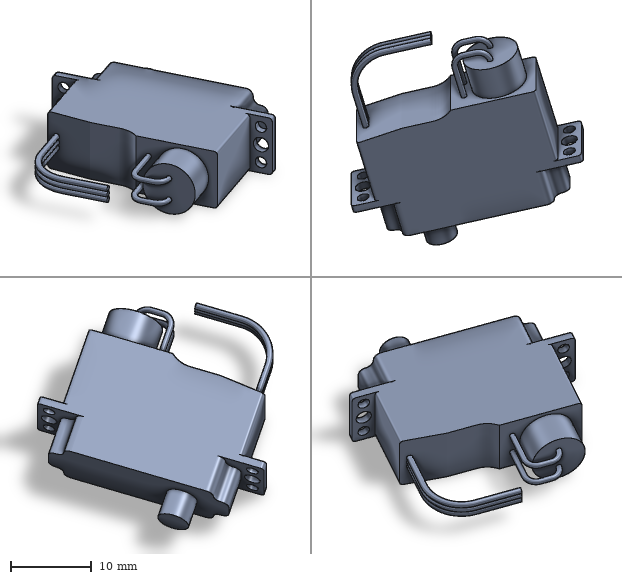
import cadquery as cq
import math


plate_length = 29.5
case_thickness = 8.02
plate_height = 1.0
corner_radius = 0.5
hole_x = 13.22
small_hole_z = 2.5
small_hole_diameter = 1.5
large_hole_diameter = 2.0

case_length = 23.48
case_top = 6.0
case_bottom = -10.53
step_radius = case_thickness / 8

slope_start_y = -8.8
slope_end_x = -5.72
shelf_y = -9.5
arc_start_x = -1.77
arc_end_x = 0.8

shaft_x = -5.63
shaft_diameter = 4.0
shaft_length = 3.5

motor_x = 7.02
motor_diameter = 7.02
motor_length = 4.35

lead_diameter = 0.75
lead_z = 1.5
lead_bend = 1.5
lead_straight = 1.5

wire_diameter = 0.8
wire_pitch = 0.77
wire_bend = 5.0
wire_x = -10.47
wire_bend_start_y = -13.95
wire_end_x = 0.53

half_length = case_length / 2
half_thickness = case_thickness / 2
motor_end = case_bottom - motor_length
quarter = math.sqrt(0.5)


def section_plane(y):
    """XZ plane at height y, with its normal along -Y."""
    return cq.Workplane("XZ", origin=(0, y, 0))


def rounded_block(length, top, bottom):
    """Full-thickness block between two Y levels, rounded along its four Y edges."""
    block = section_plane(top).rect(length, case_thickness).extrude(top - bottom)
    return block.edges("|Y").fillet(corner_radius)


def cylinder(x, diameter, top, bottom):
    """Cylinder along Y, centred on Z."""
    return section_plane(top).center(x, 0).circle(diameter / 2).extrude(top - bottom)


def mounting_plate():
    plate = rounded_block(plate_length, plate_height, 0)
    small_holes = [(x, z) for x in (-hole_x, hole_x) for z in (-small_hole_z, small_hole_z)]
    large_holes = [(-hole_x, 0), (hole_x, 0)]
    for points, diameter in ((small_holes, small_hole_diameter), (large_holes, large_hole_diameter)):
        holes = section_plane(plate_height).pushPoints(points).circle(diameter / 2).extrude(plate_height)
        plate = plate.cut(holes)
    return plate


def corner_notch(side_x, side_z):
    """S-shaped clearance at one corner of the upper case: convex, concave, convex arcs."""
    r = step_radius

    def at(across, down):
        """Point measured inward from the corner, in multiples of the arc radius."""
        return (side_x * (half_length - across * r), side_z * (half_thickness - down * r))

    outline = (
        section_plane(case_top)
        .moveTo(*at(0, 0))
        .lineTo(*at(3, 0))
        .threePointArc(at(3 - quarter, 1 - quarter), at(2, 1))
        .threePointArc(at(1 + quarter, 1 + quarter), at(1, 2))
        .threePointArc(at(1 - quarter, 3 - quarter), at(0, 3))
        .close()
    )
    return outline.extrude(case_top - plate_height)


def upper_case():
    height = case_top - plate_height
    case = section_plane(case_top).rect(case_length, case_thickness).extrude(height)
    for side_x in (-1, 1):
        for side_z in (-1, 1):
            case = case.cut(corner_notch(side_x, side_z))
    return case


def lower_case():
    case = rounded_block(case_length, 0, case_bottom)
    run = arc_end_x - arc_start_x
    drop = shelf_y - case_bottom
    arc_radius = (run**2 + drop**2) / (2 * drop)
    mid_angle = math.asin(run / arc_radius) / 2
    arc_middle = (
        arc_start_x + arc_radius * math.sin(mid_angle),
        shelf_y - arc_radius * (1 - math.cos(mid_angle)),
    )
    relief = (
        cq.Workplane("XY")
        .moveTo(-half_length, slope_start_y)
        .lineTo(slope_end_x, shelf_y)
        .lineTo(arc_start_x, shelf_y)
        .threePointArc(arc_middle, (arc_end_x, case_bottom))
        .lineTo(-half_length, case_bottom)
        .close()
        .extrude(half_thickness, both=True)
    )
    return case.cut(relief)


def motor_lead(z):
    """Lead that leaves the case and loops back into the end of the motor."""
    r = lead_bend
    loop_x = motor_x - r
    leg_x = loop_x - lead_straight - r
    path = (
        cq.Workplane("XY", origin=(leg_x, case_bottom, z))
        .lineTo(0, -motor_length)
        .radiusArc((r, -motor_length - r), -r)
        .line(lead_straight, 0)
        .radiusArc((motor_x - leg_x, -motor_length), -r)
    )
    return section_plane(case_bottom).center(leg_x, z).circle(lead_diameter / 2).sweep(path)


def cable_wire(z):
    """Wire that starts inside the case, leaves it along -Y and bends toward +X."""
    r = wire_bend
    end_y = wire_bend_start_y - r
    path = (
        cq.Workplane("XY", origin=(0, 0, z))
        .moveTo(wire_x, slope_start_y)
        .lineTo(wire_x, wire_bend_start_y)
        .radiusArc((wire_x + r, end_y), -r)
        .lineTo(wire_end_x, end_y)
    )
    return section_plane(slope_start_y).center(wire_x, z).circle(wire_diameter / 2).sweep(path)


result = mounting_plate().union(upper_case()).union(lower_case())
result = result.union(cylinder(shaft_x, shaft_diameter, case_top + shaft_length, case_top))
result = result.union(cylinder(motor_x, motor_diameter, case_bottom, motor_end))

for lead_side in (-1, 1):
    result = result.union(motor_lead(lead_side * lead_z))

for wire_offset in (-wire_pitch, 0, wire_pitch):
    result = result.union(cable_wire(wire_offset))